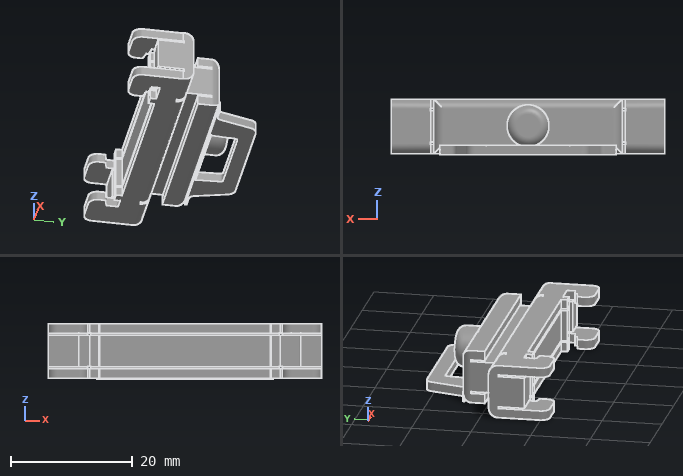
import cadquery as cq


height = 9.0
sheet = 1.6
bend_radius = sheet

clip_half_length = 22.5
clip_back_y = 10.0
clip_bend_depth = 1.8
right_hook_inset = 0.1
hook_radius = 1.5
hook_tip_x = 16.0
hook_tip_y = 2.65
left_lip_y = 3.0
right_lip_y = 3.6
lip_step_top_y = 3.4
lip_step_bottom_y = 3.0
lip_step_x = 17.5
lip_radius = 0.3
slot_floor_y = 5.0
left_slot_x = -17.5
right_slot_x = 19.0
slot_radius = 0.25

tooth_tip_y = 4.0
tooth_outer_x = 15.65
tooth_inner_x = 14.05
tooth_draft = 0.1

core_gap = 0.3
core_bottom_z = sheet + core_gap
core_height = height - 2 * core_bottom_z

back_half_length = 15.5
back_flange_y = 12.0
back_y = 15.9

knob_radius = 3.45
knob_end_y = 19.7
knob_z = 4.6
knob_edge_radius = 1.5

handle_drop = 0.2
handle_tip_y = 23.0
handle_tip_half = 9.9
handle_root_half = 11.9
handle_root_radius = 0.9
handle_tip_radius = 1.5
handle_foot_half = 14.5
handle_foot_depth = 0.3
window_tip_y = 20.4
window_tip_half = 6.55
window_root_half = 6.85
window_radius = 0.4

clip_web_y = clip_back_y - sheet
back_web_y = back_y - sheet


def box(x_min, x_max, y_min, y_max, z_min, z_max):
    size = (x_max - x_min, y_max - y_min, z_max - z_min)
    return cq.Workplane("XY").box(*size, centered=False).translate((x_min, y_min, z_min))


def prism(points, z_min, depth):
    return cq.Workplane("XY").workplane(offset=z_min).polyline(points).close().extrude(depth)


def round_edges_at(body, points, radius):
    """Fillet the vertical edges standing at the given XY points."""
    tolerance = 0.02
    for x, y in points:
        corner = cq.selectors.BoxSelector(
            (x - tolerance, y - tolerance, -height),
            (x + tolerance, y + tolerance, 2 * height),
        )
        body = body.edges("|Z").edges(corner).fillet(radius)
    return body


def bent_channel(half_length, front_y, rear_y, rounded_edges=None):
    """U-shaped channel open toward -Y, with the chosen edges of its rear face rounded."""
    body = box(-half_length, half_length, front_y, rear_y, 0, height)
    body = body.faces(">Y").edges(rounded_edges).fillet(bend_radius)
    opening = box(-half_length, half_length, front_y, rear_y - sheet, sheet, height - sheet)
    return body.cut(opening)


def toothed_edge():
    """Slot floor from left to right, with the two locating teeth."""
    inner_tip_x = tooth_inner_x + tooth_draft
    left_tooth = [
        (-tooth_outer_x, slot_floor_y),
        (-tooth_outer_x, tooth_tip_y),
        (-inner_tip_x, tooth_tip_y),
        (-tooth_inner_x, slot_floor_y),
    ]
    right_tooth = [(-x, y) for x, y in reversed(left_tooth)]
    return (
        [(left_slot_x, slot_floor_y)]
        + left_tooth
        + right_tooth
        + [(right_slot_x, slot_floor_y)]
    )


def clip_flange(z_min):
    """Flange with a hook at each end, joined to the web behind it."""
    right_x = clip_half_length - right_hook_inset
    outer_corners = [
        (-clip_half_length, 0),
        (-hook_tip_x, 0),
        (hook_tip_x, 0),
        (right_x, 0),
    ]
    lip_tips = [(-hook_tip_x, hook_tip_y), (hook_tip_x, hook_tip_y)]
    outline = (
        [(-clip_half_length, clip_web_y)]
        + outer_corners[:2]
        + [lip_tips[0], (left_slot_x, left_lip_y)]
        + toothed_edge()
        + [(right_slot_x, right_lip_y), (lip_step_x, lip_step_top_y), (lip_step_x, lip_step_bottom_y)]
        + [lip_tips[1]]
        + outer_corners[2:]
        + [(right_x, clip_web_y)]
    )
    flange = prism(outline, z_min, sheet)
    flange = round_edges_at(flange, outer_corners, hook_radius)
    flange = round_edges_at(flange, lip_tips, lip_radius)
    slot_corners = [
        (left_slot_x, left_lip_y),
        (left_slot_x, slot_floor_y),
        (right_slot_x, slot_floor_y),
    ]
    return round_edges_at(flange, slot_corners, slot_radius)


def clip_channel():
    front_y = clip_back_y - clip_bend_depth
    body = bent_channel(clip_half_length, front_y, clip_back_y, "|X")
    return body.union(clip_flange(0)).union(clip_flange(height - sheet))


def core_block():
    """Block seated in the clip channel, including the neck that reaches the back channel."""
    outline = (
        [(-clip_half_length, clip_web_y)]
        + [(-clip_half_length, tooth_tip_y), (left_slot_x, tooth_tip_y)]
        + toothed_edge()
        + [(right_slot_x, tooth_tip_y), (clip_half_length, tooth_tip_y)]
        + [(clip_half_length, clip_web_y)]
    )
    block = prism(outline, core_bottom_z, core_height)
    slot_corners = [(left_slot_x, slot_floor_y), (right_slot_x, slot_floor_y)]
    block = round_edges_at(block, slot_corners, slot_radius)
    neck = box(
        -back_half_length, back_half_length,
        clip_web_y, back_web_y,
        core_bottom_z, core_bottom_z + core_height,
    )
    return block.union(neck)


def web_relief(side):
    """Narrow gap through the clip web beside the neck; side is -1 or 1."""
    ends = sorted((side * back_half_length, side * hook_tip_x))
    return box(*ends, clip_web_y, clip_back_y, 0, height)


def knob():
    length = knob_end_y - back_web_y
    body = cq.Workplane("XZ", origin=(0, back_web_y, knob_z)).circle(knob_radius).extrude(-length)
    return body.faces(">Y").edges().fillet(knob_edge_radius)


def handle():
    """Flat tapered loop with a wide foot set into the underside of the back channel."""
    foot_y = back_y - handle_foot_depth
    tip_corners = [(-handle_tip_half, handle_tip_y), (handle_tip_half, handle_tip_y)]
    root_corners = [(-handle_root_half, back_y), (handle_root_half, back_y)]
    outline = [
        (-handle_foot_half, foot_y),
        (-handle_foot_half, back_y),
        root_corners[0],
        *tip_corners,
        root_corners[1],
        (handle_foot_half, back_y),
        (handle_foot_half, foot_y),
    ]
    loop = prism(outline, -handle_drop, sheet)
    loop = round_edges_at(loop, tip_corners, handle_tip_radius)
    loop = round_edges_at(loop, root_corners, handle_root_radius)
    window_tips = [(-window_tip_half, window_tip_y), (window_tip_half, window_tip_y)]
    window_outline = [
        (-window_root_half, back_y),
        *window_tips,
        (window_root_half, back_y),
    ]
    window = prism(window_outline, -handle_drop, sheet)
    window = round_edges_at(window, window_tips, window_radius)
    return loop.cut(window)


result = clip_channel().union(core_block())
for side in (-1, 1):
    result = result.cut(web_relief(side))
back_channel = bent_channel(back_half_length, back_flange_y, back_y)
result = result.union(back_channel).union(knob()).union(handle())